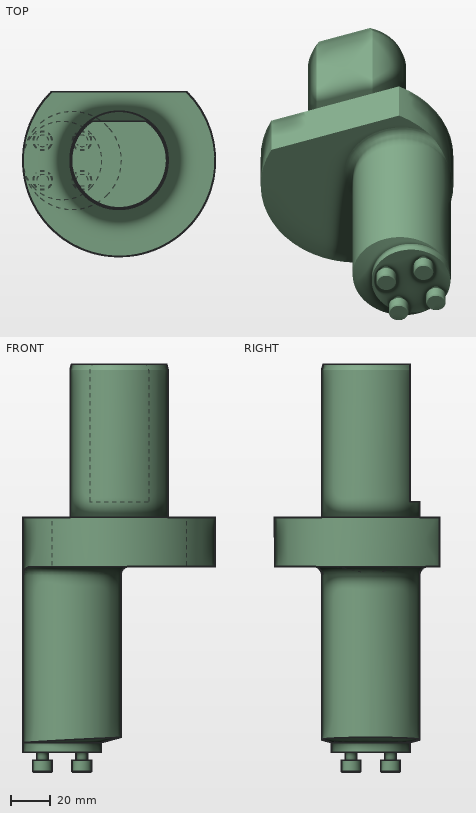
import cadquery as cq
import math

FLANGE_DIAMETER = 98.0
FLANGE_THICKNESS = 25.0
FLANGE_FLAT_Y = 35.0

SHANK_DIAMETER = 50.0
SHANK_LENGTH = 78.0
SHANK_FLAT_Y = 20.0
SHANK_FLAT_START = 8.0
LEAD_IN_LENGTH = 3.0
LEAD_IN_ANGLE = 15.0

BODY_DIAMETER = 49.99
BODY_LENGTH = 94.53
BODY_X = -24.0
NECK_FILLET = 4.0

PAD_DIAMETER = 40.0
PAD_HEIGHT = 5.0
PAD_X = BODY_X + (PAD_DIAMETER - BODY_DIAMETER) / 2
SHOULDER_ANGLE = 15.0

SCREW_PITCH = 20.0
SCREW_DIAMETER = 6.0
SCREW_GAP = 4.0
HEAD_DIAMETER = 10.0
HEAD_HEIGHT = 6.0
HEAD_CHAMFER = 0.5

FLANGE_BOTTOM = -FLANGE_THICKNESS
PAD_BOTTOM = FLANGE_BOTTOM - BODY_LENGTH


def cylinder(diameter, bottom, height, x=0.0, y=0.0):
    """Upright cylinder standing on the height `bottom`."""
    return cq.Workplane("XY", origin=(x, y, bottom)).circle(diameter / 2).extrude(height)


def space_beyond_y(y_start, bottom, height):
    """Block filling everything on the +Y side of a flat."""
    return (
        cq.Workplane("XY", origin=(0, y_start, bottom))
        .rect(FLANGE_DIAMETER, FLANGE_DIAMETER)
        .extrude(height)
        .translate((0, FLANGE_DIAMETER / 2, 0))
    )


def make_flange():
    disc = cylinder(FLANGE_DIAMETER, FLANGE_BOTTOM, FLANGE_THICKNESS)
    return disc.cut(space_beyond_y(FLANGE_FLAT_Y, FLANGE_BOTTOM, FLANGE_THICKNESS))


def make_shank():
    radius = SHANK_DIAMETER / 2
    top_radius = radius - LEAD_IN_LENGTH * math.tan(math.radians(LEAD_IN_ANGLE))
    shank = (
        cq.Workplane("XZ")
        .moveTo(0, 0)
        .lineTo(radius, 0)
        .lineTo(radius, SHANK_LENGTH - LEAD_IN_LENGTH)
        .lineTo(top_radius, SHANK_LENGTH)
        .lineTo(0, SHANK_LENGTH)
        .close()
        .revolve()
    )
    flat_length = SHANK_LENGTH - SHANK_FLAT_START
    return shank.cut(space_beyond_y(SHANK_FLAT_Y, SHANK_FLAT_START, flat_length))


def make_neck():
    """Concave fillet between body and flange, trimmed to the rim of the flange."""
    radius = BODY_DIAMETER / 2
    arc_offset = NECK_FILLET * (1 - math.cos(math.radians(45)))
    ring = (
        cq.Workplane("XZ")
        .moveTo(0, 0)
        .lineTo(radius + NECK_FILLET, 0)
        .threePointArc((radius + arc_offset, -arc_offset), (radius, -NECK_FILLET))
        .lineTo(0, -NECK_FILLET)
        .close()
        .revolve()
        .translate((BODY_X, 0, FLANGE_BOTTOM))
    )
    return ring.intersect(cylinder(FLANGE_DIAMETER, FLANGE_BOTTOM - NECK_FILLET, NECK_FILLET))


def make_body():
    """Body cylinder trimmed at its lower end to the pad and its conical shoulder."""
    body = cylinder(BODY_DIAMETER, PAD_BOTTOM, BODY_LENGTH, BODY_X)
    pad_radius = PAD_DIAMETER / 2
    envelope_radius = BODY_DIAMETER
    shoulder_rise = (envelope_radius - pad_radius) * math.tan(math.radians(SHOULDER_ANGLE))
    envelope = (
        cq.Workplane("XZ")
        .moveTo(0, 0)
        .lineTo(pad_radius, 0)
        .lineTo(pad_radius, PAD_HEIGHT)
        .lineTo(envelope_radius, PAD_HEIGHT + shoulder_rise)
        .lineTo(envelope_radius, BODY_LENGTH)
        .lineTo(0, BODY_LENGTH)
        .close()
        .revolve()
        .translate((PAD_X, 0, PAD_BOTTOM))
    )
    return body.intersect(envelope)


def make_screw(x, y):
    head_top = PAD_BOTTOM - SCREW_GAP
    head = cylinder(HEAD_DIAMETER, head_top - HEAD_HEIGHT, HEAD_HEIGHT, x, y)
    head = head.faces("<Z").chamfer(HEAD_CHAMFER)
    return head.union(cylinder(SCREW_DIAMETER, head_top, SCREW_GAP, x, y))


result = make_flange().union(make_shank()).union(make_body()).union(make_neck())
for x_side in (-1, 1):
    for y_side in (-1, 1):
        screw = make_screw(PAD_X + x_side * SCREW_PITCH / 2, y_side * SCREW_PITCH / 2)
        result = result.union(screw)